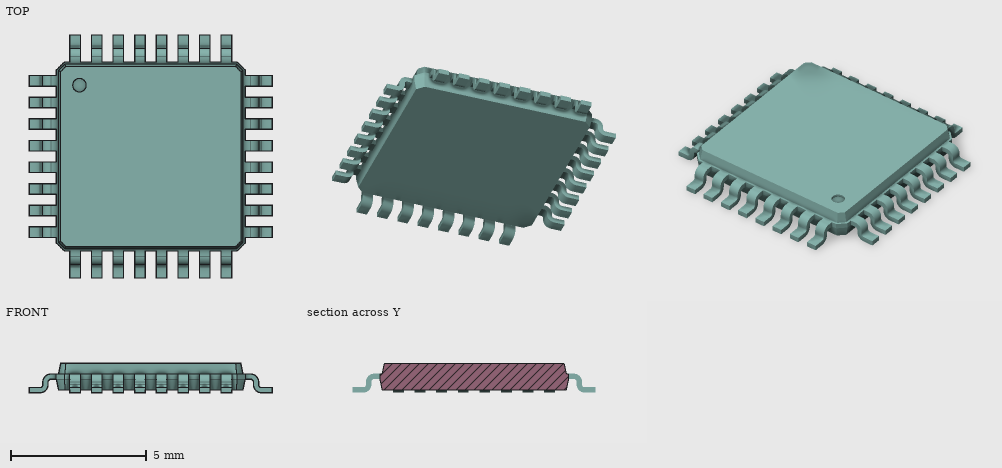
import cadquery as cq

BODY_WIDTH = 7.0
BODY_CORNER_CHAMFER = 0.3
BODY_BOTTOM_Z = 0.1
BODY_TOP_Z = 1.1
SHOULDER_STEP = 0.08
SHOULDER_CORNER_CHAMFER = 0.24
DRAFT_ANGLE = 12.0

LEAD_SPAN = 9.0
LEADS_PER_SIDE = 8
LEAD_PITCH = 0.8
LEAD_WIDTH = 0.4
LEAD_THICKNESS = 0.2
LEAD_TOP_Z = 0.7
FOOT_LENGTH = 0.4
INNER_BEND_RADIUS = 0.1
LEAD_EMBED = 0.2

MARK_DIAMETER = 0.5
MARK_DEPTH = 0.1
MARK_OFFSET = 2.64

LEAD_UNDERSIDE_Z = LEAD_TOP_Z - LEAD_THICKNESS
OUTER_BEND_RADIUS = INNER_BEND_RADIUS + LEAD_THICKNESS
SIDE_COUNT = 4


def body_layer(base_z, height, width, corner_chamfer, draft=0.0):
    """Square slab with chamfered corners; a negative height builds downward."""
    outline = (
        cq.Sketch()
        .rect(width, width)
        .vertices()
        .chamfer(corner_chamfer)
    )
    return cq.Workplane("XY", origin=(0, 0, base_z)).placeSketch(outline).extrude(height, taper=draft)


def make_body():
    lower_height = LEAD_UNDERSIDE_Z - BODY_BOTTOM_Z
    upper_height = BODY_TOP_Z - LEAD_TOP_Z
    shoulder_width = BODY_WIDTH - 2 * SHOULDER_STEP
    lower = body_layer(LEAD_UNDERSIDE_Z, -lower_height, BODY_WIDTH, BODY_CORNER_CHAMFER, DRAFT_ANGLE)
    band = body_layer(LEAD_UNDERSIDE_Z, LEAD_THICKNESS, BODY_WIDTH, BODY_CORNER_CHAMFER)
    upper = body_layer(LEAD_TOP_Z, upper_height, shoulder_width, SHOULDER_CORNER_CHAMFER, DRAFT_ANGLE)
    return band.union(lower).union(upper)


def make_lead():
    """One lead on the +X side, centred on the X axis."""
    tip_x = LEAD_SPAN / 2
    root_x = BODY_WIDTH / 2 - LEAD_EMBED
    lower_bend_x = tip_x - FOOT_LENGTH
    lower_bend_z = OUTER_BEND_RADIUS
    upper_bend_x = lower_bend_x - INNER_BEND_RADIUS - OUTER_BEND_RADIUS
    upper_bend_z = LEAD_TOP_Z - OUTER_BEND_RADIUS
    outer_face_x = lower_bend_x - INNER_BEND_RADIUS
    inner_face_x = outer_face_x - LEAD_THICKNESS

    return (
        cq.Workplane("XZ")
        .moveTo(root_x, LEAD_TOP_Z)
        .lineTo(upper_bend_x, LEAD_TOP_Z)
        .radiusArc((outer_face_x, upper_bend_z), OUTER_BEND_RADIUS)
        .lineTo(outer_face_x, lower_bend_z)
        .radiusArc((lower_bend_x, LEAD_THICKNESS), -INNER_BEND_RADIUS)
        .lineTo(tip_x, LEAD_THICKNESS)
        .lineTo(tip_x, 0)
        .lineTo(lower_bend_x, 0)
        .radiusArc((inner_face_x, lower_bend_z), OUTER_BEND_RADIUS)
        .lineTo(inner_face_x, upper_bend_z)
        .radiusArc((upper_bend_x, LEAD_UNDERSIDE_Z), -INNER_BEND_RADIUS)
        .lineTo(root_x, LEAD_UNDERSIDE_Z)
        .close()
        .extrude(LEAD_WIDTH / 2, both=True)
    )


def add_leads(body):
    lead = make_lead()
    first_lead_y = -LEAD_PITCH * (LEADS_PER_SIDE - 1) / 2
    for side in range(SIDE_COUNT):
        side_angle = side * 360 / SIDE_COUNT
        for index in range(LEADS_PER_SIDE):
            placed = lead.translate((0, first_lead_y + index * LEAD_PITCH, 0))
            body = body.union(placed.rotate((0, 0, 0), (0, 0, 1), side_angle))
    return body


def cut_pin_mark(package):
    """Shallow round recess near the (-X, +Y) corner of the top face."""
    mark = (
        cq.Workplane("XY", origin=(-MARK_OFFSET, MARK_OFFSET, BODY_TOP_Z - MARK_DEPTH))
        .circle(MARK_DIAMETER / 2)
        .extrude(MARK_DEPTH)
    )
    return package.cut(mark)


result = cut_pin_mark(add_leads(make_body()))